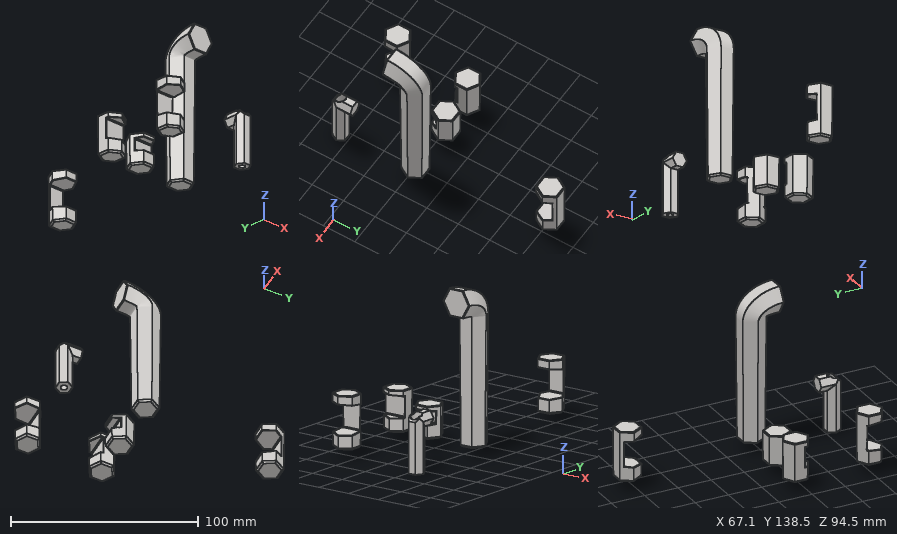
import cadquery as cq
import math

DRAFT_ANGLE = 0.5
TOP_BREAK = 0.5
BASE_CHAMFER = 1.0
FLAT_RATIO = math.cos(math.radians(30))

CLIP_RADIUS = 7.8
SLOT_DRAFT = 6.0
SLOT_CORNER = 0.5
SLOT_BREAK = 0.3
CUT_MARGIN = 1.0
TOUCHING = 1e-4
TALL_HEIGHT = 30.0
MEDIUM_HEIGHT = 23.5
SHORT_HEIGHT = 18.3
NEAR_CLIP_Y = -44.42
SHORT_CLIP_X = 21.3
FAR_CLIP_X = 41.8
FAR_CLIP_Y = 79.51
CORNERS_ON_X = 0
CORNERS_ON_Y = 30

HANDLE_X = 51.44
COLUMN_TOP = 73.0
COLUMN_TOP_RADIUS = 8.3
END_RADIUS = 8.87
BEND_REACH = 15.4
HANDLE_HEIGHT = 89.55
BEND_SECTIONS = 10
END_BREAK = 0.4

ELBOW_X = 50.2
ELBOW_Y = -48.2
ELBOW_FLATS = 8.0
POST_BOTTOM = -5.0
ARM_AXIS_HEIGHT = 24.0
ARM_LENGTH = 9.0
BORE_DIAMETER = 3.5
COUNTERBORE_DIAMETER = 6.0


def hexagon_points(radius, first_angle):
    """Corners of a hexagon; the first one lies at an angle in degrees from the X axis."""
    angles = [math.radians(first_angle + 60 * i) for i in range(6)]
    return [(radius * math.cos(a), radius * math.sin(a)) for a in angles]


def drafted_column(top_radius, height, first_angle):
    """Hexagonal column standing on z = 0 that is widest at its top, with a chamfered foot."""
    column = (
        cq.Workplane("XY", origin=(0, 0, height))
        .polyline(hexagon_points(top_radius, first_angle))
        .close()
        .extrude(-height, taper=DRAFT_ANGLE)
    )
    return column.faces("<Z").chamfer(BASE_CHAMFER)


def slot_tool(back, floor, ceiling):
    """Slot running along X, from its back wall at y = back out past the clip in -Y."""
    depth = CLIP_RADIUS + back + CUT_MARGIN
    rise = depth * math.tan(math.radians(SLOT_DRAFT))
    profile = [
        (back, floor),
        (back, ceiling),
        (back - depth, ceiling + rise),
        (back - depth, floor - rise),
    ]
    return cq.Workplane("YZ").polyline(profile).close().extrude(CLIP_RADIUS + CUT_MARGIN, both=True)


def lies_on(point, workplane):
    """True where a point is on the surface of a solid."""
    surface = workplane.val().Shells()[0]
    return cq.Vertex.makeVertex(*point.toTuple()).distance(surface) < TOUCHING


def clip(height, first_angle, slot_back, slot_floor, slot_ceiling):
    """One clip: column, broken top edge, slot, broken slot mouth and filled slot corners."""
    column = drafted_column(CLIP_RADIUS, height, first_angle).faces(">Z").chamfer(TOP_BREAK)
    slot = slot_tool(slot_back, slot_floor, slot_ceiling)
    body = column.cut(slot)
    middles = [(edge, edge.positionAt(0.5)) for edge in body.edges().vals()]
    mouth = [edge for edge, p in middles if lies_on(p, slot) and lies_on(p, column)]
    body = body.newObject(mouth).chamfer(SLOT_BREAK)
    corners = body.newObject([])
    for z in (slot_floor, slot_ceiling):
        corner = cq.selectors.BoxSelector(
            (-TOUCHING, slot_back - TOUCHING, z - TOUCHING),
            (TOUCHING, slot_back + TOUCHING, z + TOUCHING),
        )
        corners = corners.add(body.edges(corner))
    return corners.chamfer(SLOT_CORNER)


near_clip = clip(TALL_HEIGHT, CORNERS_ON_Y, slot_back=4.2, slot_floor=9.1, slot_ceiling=23.7)
near_clip = near_clip.translate((0, NEAR_CLIP_Y, 0))

medium_clip = clip(MEDIUM_HEIGHT, CORNERS_ON_Y, slot_back=-2.4, slot_floor=8.3, slot_ceiling=20.0)

short_clip = clip(SHORT_HEIGHT, CORNERS_ON_X, slot_back=-2.4, slot_floor=8.3, slot_ceiling=15.2)
short_clip = short_clip.translate((SHORT_CLIP_X, 0, 0))

far_clip = clip(TALL_HEIGHT, CORNERS_ON_X, slot_back=4.4, slot_floor=9.3, slot_ceiling=23.7)
far_clip = far_clip.translate((FAR_CLIP_X, FAR_CLIP_Y, 0))


def bend_section(turn):
    """Hexagon of the bend after turning by an angle from the column towards the end face.

    Each corner follows a quarter ellipse about the line under the end face at the column top.
    """
    rise = HANDLE_HEIGHT - END_RADIUS * FLAT_RATIO - COLUMN_TOP
    half_width = COLUMN_TOP_RADIUS + (END_RADIUS - COLUMN_TOP_RADIUS) * math.sin(turn)
    points = []
    for along, across in hexagon_points(1, CORNERS_ON_X):
        y = (BEND_REACH + COLUMN_TOP_RADIUS * across) * math.cos(turn) - BEND_REACH
        z = (rise + END_RADIUS * across) * math.sin(turn) + COLUMN_TOP
        points.append(cq.Vector(along * half_width, y, z))
    return cq.Wire.makePolygon(points, close=True)


def make_handle():
    """Column with its foot chamfered, bend lofted on top, end face broken."""
    column = drafted_column(COLUMN_TOP_RADIUS, COLUMN_TOP, CORNERS_ON_X)
    turns = [math.pi / 2 * i / BEND_SECTIONS for i in range(BEND_SECTIONS + 1)]
    bend = cq.Solid.makeLoft([bend_section(turn) for turn in turns])
    body = column.union(cq.Workplane(bend))
    return body.faces("<Y").chamfer(END_BREAK).translate((HANDLE_X, 0, 0))


def side_prism(profile):
    """Prism along X on a Y-Z outline, wide enough to pass right through the elbow."""
    return cq.Workplane("YZ").polyline(profile).close().extrude(ELBOW_FLATS, both=True)


def make_elbow():
    """Post and arm joined on a mitre, outer corner cut flat, bored down through the post."""
    half = ELBOW_FLATS / 2
    corners = hexagon_points(half / FLAT_RATIO, CORNERS_ON_X)
    arm_top = ARM_AXIS_HEIGHT + half
    arm_bottom = ARM_AXIS_HEIGHT - half
    height = arm_top - POST_BOTTOM

    post = cq.Workplane("XY", origin=(0, 0, POST_BOTTOM)).polyline(corners).close().extrude(height)
    arm_start = cq.Workplane("XZ", origin=(0, ARM_LENGTH, ARM_AXIS_HEIGHT))
    arm = arm_start.polyline(corners).close().extrude(ARM_LENGTH + half)

    below_mitre = side_prism([
        (-height, ARM_AXIS_HEIGHT + height),
        (height, ARM_AXIS_HEIGHT - height),
        (-height, ARM_AXIS_HEIGHT - height),
    ])
    body = post.intersect(below_mitre).union(arm.cut(below_mitre))

    outer_corner = side_prism([(-half, ARM_AXIS_HEIGHT), (0, arm_top), (-half, arm_top)])
    body = body.cut(outer_corner)

    bore = cq.Workplane("XY", origin=(0, 0, POST_BOTTOM)).circle(BORE_DIAMETER / 2).extrude(height)
    counterbore = (
        cq.Workplane("XY", origin=(0, 0, arm_bottom))
        .circle(COUNTERBORE_DIAMETER / 2)
        .extrude(ELBOW_FLATS)
    )
    return body.cut(bore).cut(counterbore).translate((ELBOW_X, ELBOW_Y, 0))


handle = make_handle()
elbow = make_elbow()

result = cq.Compound.makeCompound(
    [near_clip.val(), medium_clip.val(), short_clip.val(), far_clip.val(), handle.val(), elbow.val()]
)